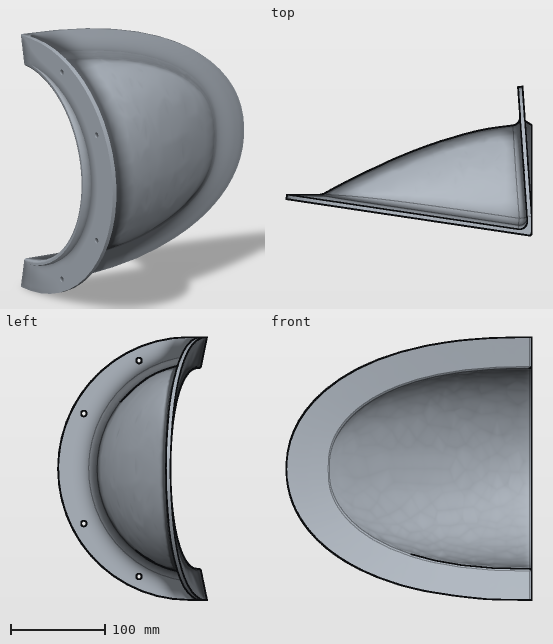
import cadquery as cq
import math

WALL = 5.0

FLANGE_LENGTH = 261.0
FLANGE_HALF_WIDTH = 139.7
FLANGE_RISE = 39.0
FLANGE_DISH = 6.7
NOSE_POWER = 2.4
SIDE_POWER = 2.1
OUTLINE_STEPS = 16

MOUTH_LENGTH = 216.8
MOUTH_HALF_WIDTH = 106.7
HOOD_LENGTH = 229.0
HOOD_HALF_WIDTH = MOUTH_HALF_WIDTH + WALL
HOOD_BASE = 6.1
CROWN_POWER = 1.47
NOSE_ANGLE = 2.5
SECTIONS = 10

PLATE_RADIUS = FLANGE_HALF_WIDTH
PLATE_CENTRE_Y = 19.5
PLATE_TILT = 4.0
HOLE_DIAMETER = 6.0
HOLE_CIRCLE_RADIUS = 126.5
HOLE_ANGLES = (-65.0, -27.5, 27.5, 65.0)
COLLAR_RADIUS = 117.0
COLLAR_LENGTH = 8.5

ROOT_FILLET = 8.5
LIP_FILLET = 2.5

OVERHANG = 0.3
PLATE_SPARE = 8.5
DEPTH = 83.8
REACH = 419.0

SLOPE = FLANGE_RISE / FLANGE_LENGTH
FLANGE_ANGLE = math.atan(SLOPE)


def superellipse(angle, length, half_width):
    """Point of a U-shaped outline; angle 0 is the nose, 90 degrees the widest place."""
    along = -length * abs(math.cos(angle)) ** (2 / NOSE_POWER)
    across = math.copysign(half_width * abs(math.sin(angle)) ** (2 / SIDE_POWER), angle)
    return along, across


def flange_plane(height):
    """Sketch plane parallel to the rim; its local x runs down the slope, its local y along -Z."""
    normal = cq.Vector(math.sin(FLANGE_ANGLE), math.cos(FLANGE_ANGLE), 0)
    along = cq.Vector(math.cos(FLANGE_ANGLE), -math.sin(FLANGE_ANGLE), 0)
    return cq.Plane(origin=normal * height, xDir=along, normal=normal)


def outline(sketch, length, half_width):
    """U-shaped outline, round at the nose and straight past X = 0."""
    slant_length = length / math.cos(FLANGE_ANGLE)
    angles = [math.pi * (i / OUTLINE_STEPS - 0.5) for i in range(1, OUTLINE_STEPS)]
    curve = [superellipse(angle, slant_length, half_width) for angle in angles]
    return (
        sketch.moveTo(DEPTH, -half_width)
        .lineTo(0, -half_width)
        .spline(curve + [(0, half_width)], tangents=[(-1, 0), (1, 0)], includeCurrent=True)
        .lineTo(DEPTH, half_width)
        .close()
    )


def ground(height):
    """Deep solid under the dished surface whose rim is at the given height, carried past rim and mouth."""
    spare_length = OVERHANG * (FLANGE_LENGTH - MOUTH_LENGTH)
    spare_width = OVERHANG * (FLANGE_HALF_WIDTH - MOUTH_HALF_WIDTH)
    spare_dish = OVERHANG * FLANGE_DISH
    outside = (FLANGE_LENGTH + spare_length, FLANGE_HALF_WIDTH + spare_width)
    inside = (MOUTH_LENGTH - spare_length, MOUTH_HALF_WIDTH - spare_width)
    start = flange_plane(height - spare_dish)
    base = outline(cq.Workplane(start), *outside).extrude(-DEPTH)
    inner_sketch = outline(cq.Workplane(start), *outside).workplane(offset=FLANGE_DISH + 2 * spare_dish)
    return outline(inner_sketch, *inside).loft(ruled=True).union(base)


def hood_section(x, length, half_width):
    """Elliptical section of the hood; its lower half lies below the flange."""
    reach = half_width * (1 - (-x / length) ** NOSE_POWER) ** (1 / SIDE_POWER)
    crown = half_width * (1 - (-x / length) ** CROWN_POWER)
    centre = (x, HOOD_BASE - SLOPE * x, 0)
    section = cq.Plane(origin=centre, xDir=(0, 0, -1), normal=(1, 0, 0))
    return cq.Workplane(section).ellipse(reach, crown).wires().val()


def hood(length, half_width):
    """Solid body with its round end at the nose and its widest section at X = 0."""
    first = math.radians(NOSE_ANGLE)
    step = (math.pi / 2 - first) / (SECTIONS - 1)
    stations = [superellipse(first + i * step, length, half_width)[0] for i in range(SECTIONS - 1)]
    sections = [hood_section(x, length, half_width) for x in stations + [0.0]]
    return cq.Workplane(cq.occ_impl.shapes.loft(sections, cap=True, parametrization="chordal"))


def plate_sketch(offset):
    """Sketch on the tilted plate, offset forward of its back face; local x runs up the plate."""
    tilt = math.radians(PLATE_TILT)
    normal = cq.Vector(-math.cos(tilt), -math.sin(tilt), 0)
    up = cq.Vector(-math.sin(tilt), math.cos(tilt), 0)
    plane = cq.Plane(origin=(0, PLATE_CENTRE_Y, 0), xDir=up, normal=normal)
    return cq.Workplane(plane).workplane(offset=offset)


def plate_prism(radius, back, front):
    """Half-round prism square to the plate, with straight legs down past the flange."""
    return (
        plate_sketch(back)
        .moveTo(-DEPTH, -radius)
        .lineTo(0, -radius)
        .threePointArc((radius, 0), (0, radius))
        .lineTo(-DEPTH, radius)
        .close()
        .extrude(front - back)
    )


def collar():
    """Flared ring behind the plate, narrowing to the end of the hood."""
    start = cq.Plane(origin=(-COLLAR_LENGTH, HOOD_BASE, 0), xDir=(0, 1, 0), normal=(1, 0, 0))
    cone = (
        cq.Workplane(start)
        .circle(COLLAR_RADIUS)
        .workplane(offset=COLLAR_LENGTH)
        .circle(HOOD_HALF_WIDTH)
        .loft()
    )
    return cone.intersect(plate_prism(PLATE_RADIUS, -DEPTH, WALL / 2))


def plate_holes():
    angles = [math.radians(angle) for angle in HOLE_ANGLES]
    centres = [(HOLE_CIRCLE_RADIUS * math.cos(a), HOLE_CIRCLE_RADIUS * math.sin(a)) for a in angles]
    return plate_sketch(-WALL).pushPoints(centres).circle(HOLE_DIAMETER / 2).extrude(3 * WALL)


beyond_end = cq.Workplane("YZ").rect(2 * REACH, 2 * REACH).extrude(REACH)
oversize_plate = plate_prism(PLATE_RADIUS + PLATE_SPARE, 0, WALL)
body = ground(WALL).union(hood(HOOD_LENGTH, HOOD_HALF_WIDTH)).union(oversize_plate).cut(beyond_end)


def fillet_near(solid, points, radius):
    """Fillet the edges whose centres are nearest to the given points."""
    edges = [solid.edges(cq.NearestToPointSelector(point)).val() for point in points]
    return solid.newObject(edges).fillet(radius)


corner_z = (HOOD_HALF_WIDTH + FLANGE_HALF_WIDTH) / 2
hood_middle = HOOD_BASE + HOOD_HALF_WIDTH * 2 / math.pi
flange_middle_x = -0.6 * HOOD_LENGTH
flange_middle_y = FLANGE_DISH + WALL - SLOPE * flange_middle_x
plate_root = (-2 * WALL, hood_middle, 0)
flange_root = (flange_middle_x, flange_middle_y, 0)
corner_roots = [(-WALL, FLANGE_DISH, z) for z in (-corner_z, corner_z)]
body = fillet_near(body, [plate_root, flange_root] + corner_roots, ROOT_FILLET)

rim_prism = outline(cq.Workplane(flange_plane(-DEPTH)), FLANGE_LENGTH, FLANGE_HALF_WIDTH).extrude(REACH)
body = body.union(collar()).intersect(rim_prism).intersect(plate_prism(PLATE_RADIUS, -DEPTH, REACH))
body = body.cut(ground(0)).cut(hood(MOUTH_LENGTH, MOUTH_HALF_WIDTH)).cut(plate_holes())

end_lip = (0, HOOD_BASE + MOUTH_HALF_WIDTH * 2 / math.pi, 0)
mouth_lip = (-0.58 * MOUTH_LENGTH, FLANGE_DISH + 0.58 * SLOPE * MOUTH_LENGTH, 0)
flange_ends = [(0, FLANGE_DISH / 2, z) for z in (-corner_z, corner_z)]
result = fillet_near(body, [end_lip, mouth_lip] + flange_ends, LIP_FILLET)